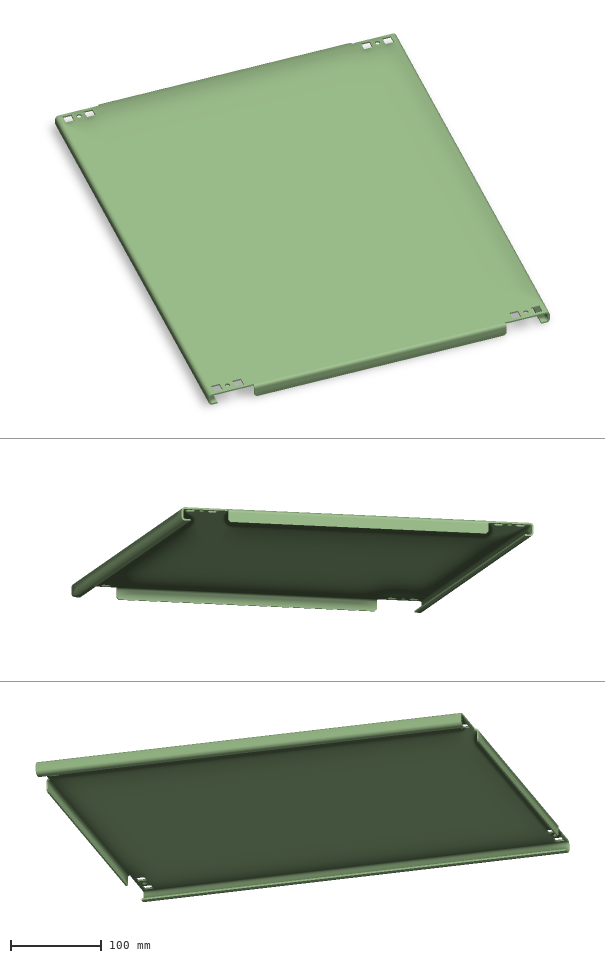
import cadquery as cq

LENGTH = 499.0
WIDTH = 400.0
HEIGHT = 15.0
SHEET = 2.0
BEND_RADIUS = 4.0
INNER_RADIUS = BEND_RADIUS - SHEET

PLATE_LENGTH = LENGTH - 2 * BEND_RADIUS
LIP_DEPTH = 10.0
SIDE_FLANGE_WIDTH = 296.0
SIDE_CORNER_CHAMFER = 2.5

RELIEF_WIDTH = 2.5
RELIEF_DEPTH = 0.5

SQUARE_SIZE = 10.0
ROUND_DIAMETER = 5.5
HOLE_PITCH = 12.5
HOLE_EDGE_X = 8.5
GROUP_EDGE_Y = 25.0

TOP = HEIGHT / 2
BOTTOM = -HEIGHT / 2


def channel_panel():
    """Plate with front and rear edges folded down and back under."""
    outer = (
        cq.Workplane("XY").box(PLATE_LENGTH, WIDTH, HEIGHT)
        .edges("|X").fillet(BEND_RADIUS)
    )
    cavity = (
        cq.Workplane("XY").box(PLATE_LENGTH, WIDTH - 2 * SHEET, HEIGHT - 2 * SHEET)
        .edges("|X").fillet(INNER_RADIUS)
    )
    lip_gap = (
        cq.Workplane("XY")
        .box(PLATE_LENGTH, WIDTH - 2 * LIP_DEPTH, HEIGHT / 2, centered=(True, True, False))
        .translate((0, 0, BOTTOM))
    )
    return outer.cut(cavity).cut(lip_gap)


def side_flange():
    """Left flange: a quarter bend followed by a straight leg."""
    plate_end = -PLATE_LENGTH / 2
    outside = -LENGTH / 2
    inside = outside + SHEET
    bend_z = TOP - BEND_RADIUS
    flange = (
        cq.Workplane("XZ")
        .moveTo(plate_end, TOP)
        .radiusArc((outside, bend_z), -BEND_RADIUS)
        .lineTo(outside, BOTTOM)
        .lineTo(inside, BOTTOM)
        .lineTo(inside, bend_z)
        .radiusArc((plate_end, TOP - SHEET), INNER_RADIUS)
        .close()
        .extrude(SIDE_FLANGE_WIDTH / 2, both=True)
    )
    return flange.faces("<Z").edges("|X").chamfer(SIDE_CORNER_CHAMFER)


def relief_slots():
    slot_y = (SIDE_FLANGE_WIDTH + RELIEF_WIDTH) / 2
    return (
        cq.Workplane("XY")
        .rect(PLATE_LENGTH, 2 * slot_y, forConstruction=True).vertices()
        .rect(2 * RELIEF_DEPTH, RELIEF_WIDTH)
        .extrude(TOP)
    )


def corner_holes(side_x, side_y):
    """A round hole between two square holes, through the top sheet only."""
    x = side_x * (PLATE_LENGTH / 2 - HOLE_EDGE_X)
    y = side_y * (WIDTH / 2 - GROUP_EDGE_Y)
    squares = (
        cq.Workplane("XY")
        .pushPoints([(x, y - HOLE_PITCH), (x, y + HOLE_PITCH)])
        .rect(SQUARE_SIZE, SQUARE_SIZE)
        .extrude(TOP)
    )
    middle = cq.Workplane("XY").center(x, y).circle(ROUND_DIAMETER / 2).extrude(TOP)
    return squares.union(middle)


left_flange = side_flange()
result = channel_panel().union(left_flange).union(left_flange.mirror("YZ"))
result = result.cut(relief_slots())
for side_x in (-1, 1):
    for side_y in (-1, 1):
        result = result.cut(corner_holes(side_x, side_y))